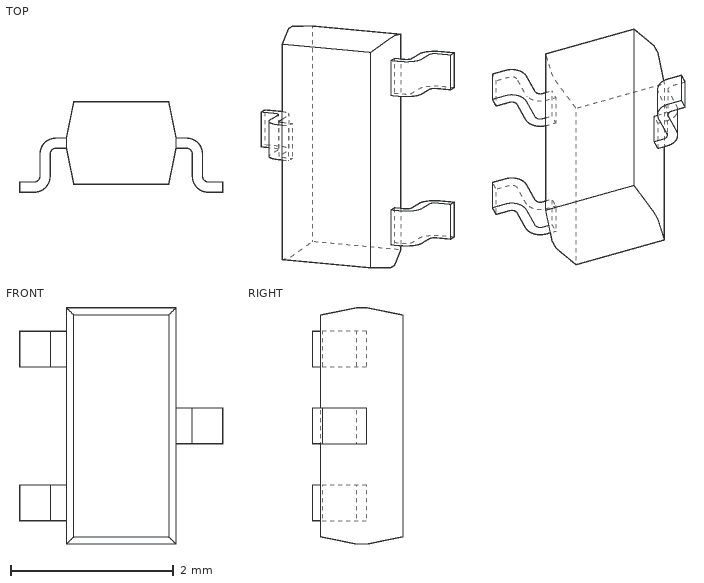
import cadquery as cq

overall_width = 2.51
overall_depth = 1.12

housing_length = 2.92
housing_width = 1.355
standoff = 0.1
taper_inset = 0.09
band_front = 0.543
band_back = 0.677

lead_width = 0.445
lead_thickness = 0.128
lead_pitch = 1.898
outer_radius = 0.2
leg_gap = 0.2
inner_radius = outer_radius - lead_thickness
lead_front = band_front
lead_back = lead_front + lead_thickness
housing_side = housing_width / 2
foot_tip = overall_width / 2


def housing_section(y, inset):
    """Rectangular wire across the housing at depth y, inset on all four sides."""
    half_width = housing_width / 2 - inset
    half_length = housing_length / 2 - inset
    corners = [
        cq.Vector(-half_width, y, -half_length),
        cq.Vector(half_width, y, -half_length),
        cq.Vector(half_width, y, half_length),
        cq.Vector(-half_width, y, half_length),
    ]
    return cq.Wire.makePolygon(corners, close=True)


def make_housing():
    """Moulded housing, tapered towards its front and back faces."""
    sections = [
        housing_section(standoff, taper_inset),
        housing_section(band_front, 0),
        housing_section(band_back, 0),
        housing_section(overall_depth, taper_inset),
    ]
    return cq.Workplane(cq.Solid.makeLoft(sections, ruled=True))


def make_lead(side, z_center):
    """Bent lead on the +X (side = 1) or -X (side = -1) side of the housing."""
    leg_near = housing_side + leg_gap
    leg_far = leg_near + lead_thickness
    shoulder_end = leg_far - outer_radius
    foot_start = leg_near + outer_radius
    profile = (
        cq.Workplane("XY", origin=(0, 0, z_center - lead_width / 2))
        .moveTo(housing_side, lead_back)
        .lineTo(shoulder_end, lead_back)
        .radiusArc((leg_far, lead_back - outer_radius), outer_radius)
        .lineTo(leg_far, lead_thickness + inner_radius)
        .radiusArc((foot_start, lead_thickness), -inner_radius)
        .lineTo(foot_tip, lead_thickness)
        .lineTo(foot_tip, 0)
        .lineTo(foot_start, 0)
        .radiusArc((leg_near, outer_radius), outer_radius)
        .lineTo(leg_near, lead_front - inner_radius)
        .radiusArc((shoulder_end, lead_front), -inner_radius)
        .lineTo(housing_side, lead_front)
        .close()
    )
    lead = profile.extrude(lead_width)
    return lead if side > 0 else lead.mirror("YZ")


housing = make_housing()

lead_places = [(-1, -lead_pitch / 2), (-1, lead_pitch / 2), (1, 0)]
leads = [make_lead(side, z_center) for side, z_center in lead_places]

result = cq.Compound.makeCompound([housing.val(), *[lead.val() for lead in leads]])